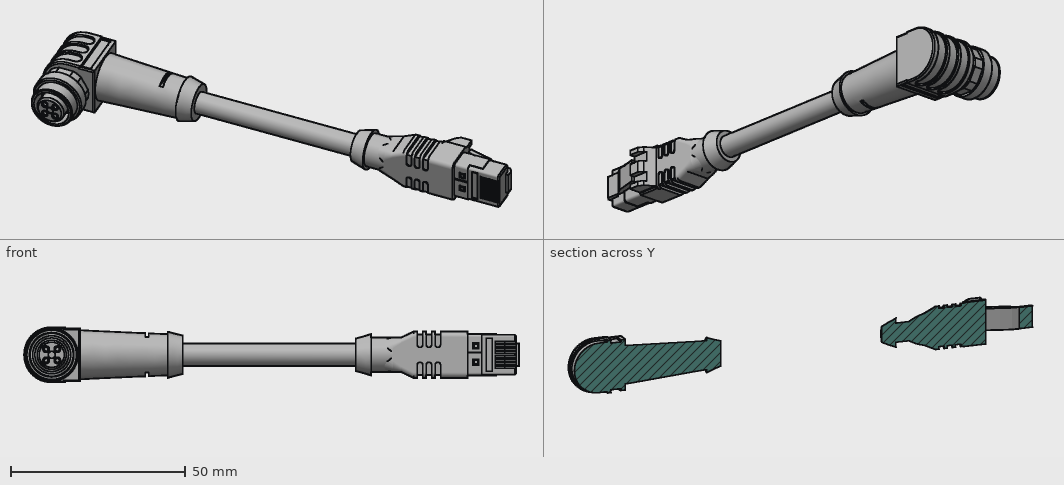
import cadquery as cq
import math


head_radius = 8.0
head_half_depth = 8.0
head_block_half_height = 7.7
head_round_end_x = 3.8
head_end_x = 8.2
head_edge_chamfer = 0.4
panel_length = 3.0
panel_half_depth = 7.1
panel_recess = 0.5
grip_count = 3
grip_pitch = 4.4
grip_width = 3.4
grip_depth = 0.4
grip_taper_angle = 30
grip_end_x = 2.8

neck_diameter = 9.2
hex_start = 9.1
hex_across_flats = 13.4
hex_corner_diameter = 14.1
collar_start = 12.1
collar_diameter = 15.0
collar_chamfer = 0.4
nose_start = 15.6
nose_end = 19.6
nose_diameter = 12.8
bore_diameter = 11.0
nose_tip_diameter = 12.4
nose_tip_length = 0.4
bore_floor = 14.2
insert_end = 20.8
insert_diameter = 8.4
insert_chamfer = 0.5
seal_diameter = 9.7
seal_height = 0.9
seal_edge_radius = 0.5
contact_hole_diameter = 1.15
contact_hole_depth = 2.8
contact_mouth_diameter = 1.8
recess_diameter = 2.0
recess_depth = 0.3
contact_circle_radius = 2.3
contact_count = 4
first_contact_angle = 45

cable_diameter = 6.5
relief_root_radius = 7.1
relief_tip_radius = 6.0
relief_ring_x = 33.3
relief_ring_radius = 6.7
relief_end_x = 37.7
relief_end_radius = 5.5
relief_slot_x = 26.9
relief_slot_width = 1.0
relief_slot_floor = 5.1

cone_start_x = 87.3
cone_start_radius = 4.7
cone_end_x = 91.7
cone_end_radius = 6.0
barrel_radius = 5.0
blend_start_x = 93.0
blend_start_half = 3.8
blend_corner_radius = 3.1
body_start_x = 98.0
flare_start_x = 100.4
flare_end_x = 103.9
body_half_height = 6.7
body_end_x = 119.4
body_corner_radius = 1.5
body_groove_count = 3
body_groove_first_x = 105.8
body_groove_pitch = 2.5
body_groove_width = 1.5
body_groove_side_depth = 0.9
body_groove_face_depth = 0.3
body_groove_inner_z = 2.1

guard_start_x = 112.6
guard_bend_x = 114.7
guard_bend_y = 7.8
guard_flat_x = 116.2
guard_top_y = 8.8
guard_half_width = 6.0
guard_slot_inner_z = 1.7
guard_slot_outer_z = 4.5
guard_slot_floor_y = 7.1
guard_foot_chamfer = 0.4

plug_end_x = 133.4
plug_end_chamfer = 0.4
latch_end_x = 134.2
shield_half_depth = 3.4
shield_half_height = 6.0
shield_thickness = 0.21
shield_edge_radius = 0.9
shield_step_x = 123.5
shield_end_x = 127.7
shield_step_y = -1.8
shield_seam_z = 0.64
shield_seam_width = 0.21
window_center_x = 121.8
window_centers_z = (2.5, -2.1)
window_size = 1.7
window_tab_size = 1.0
window_depth = 0.4
bar_groove_x = 124.8
bar_groove_width = 1.7
bar_groove_half_height = 4.7
bar_groove_depth = 0.3
blade_count = 8
blade_pitch = 1.02
blade_slot_width = 0.5
blade_slot_start_x = 127.4
blade_slot_step_x = 130.1
blade_slot_deep = 1.1
blade_slot_shallow = 0.5
latch_half_width = 3.3
latch_top_y = 4.5
latch_tip_y = 3.5
latch_hook_y = 1.4


def box_between(x_range, y_range, z_range):
    """Box given by its low and high limit along each axis."""
    size = [high - low for low, high in (x_range, y_range, z_range)]
    corner = (x_range[0], y_range[0], z_range[0])
    return cq.Workplane("XY").box(*size, centered=False).translate(corner)


def disc_y(diameter, start, end):
    """Cylinder on the round connector's axis, from start to end along -Y."""
    return cq.Workplane("XZ", origin=(0, -start, 0)).circle(diameter / 2).extrude(end - start)


def turned_x(points):
    """Solid of revolution about the cable axis from (x, radius) points."""
    return cq.Workplane("XY").polyline(points).close().revolve(360, (0, 0, 0), (1, 0, 0))


def grip_groove(y):
    """Shallow groove around the round end, running onto both flat sides."""
    root_width = grip_width - 2 * grip_depth * math.tan(math.radians(grip_taper_angle))
    floor_radius = head_radius - grip_depth
    section = [
        (-floor_radius, y - root_width / 2),
        (-head_radius, y - grip_width / 2),
        (-head_radius - grip_depth, y - grip_width / 2),
        (-head_radius - grip_depth, y + grip_width / 2),
        (-head_radius, y + grip_width / 2),
        (-floor_radius, y + root_width / 2),
    ]
    half_ring = (
        cq.Workplane("XY").polyline(section).close()
        .revolve(180, (0, 0, 0), (0, 1, 0))
        .rotate((0, 0, 0), (0, 1, 0), -90)
    )
    flat_slot = (
        cq.Workplane("XY", origin=(0, y, head_radius))
        .slot2D(2 * grip_end_x, grip_width)
        .extrude(-grip_depth, taper=grip_taper_angle)
    )
    return half_ring.union(flat_slot).union(flat_slot.mirror("XY"))


def make_head():
    """Round-nosed head with recessed side panels and grip grooves."""
    round_part = (
        disc_y(2 * head_radius, -head_half_depth, head_half_depth)
        .union(box_between(
            (0, head_round_end_x),
            (-head_half_depth, head_half_depth),
            (-head_radius, head_radius),
        ))
    )
    block = box_between(
        (0, head_end_x),
        (-head_half_depth, head_half_depth),
        (-head_block_half_height, head_block_half_height),
    )
    head = round_part.union(block).faces("<Y or >Y").chamfer(head_edge_chamfer)
    floor_z = head_block_half_height - panel_recess
    panel = box_between(
        (head_round_end_x, head_round_end_x + panel_length),
        (-panel_half_depth, panel_half_depth),
        (floor_z, head_radius),
    )
    head = head.cut(panel).cut(panel.mirror("XY"))
    for i in range(grip_count):
        head = head.cut(grip_groove((i - (grip_count - 1) / 2) * grip_pitch))
    return head


def make_coupling():
    """Neck and hex nut with a hollow nose."""
    neck = disc_y(neck_diameter, head_half_depth - head_edge_chamfer, hex_start)
    hex_corner_to_corner = hex_across_flats / math.cos(math.radians(30))
    hexagon = (
        cq.Workplane("XZ", origin=(0, -hex_start, 0))
        .polygon(6, hex_corner_to_corner)
        .extrude(collar_start - hex_start)
        .intersect(disc_y(hex_corner_diameter, hex_start, collar_start))
    )
    collar = disc_y(collar_diameter, collar_start, nose_start).faces("<Y").chamfer(collar_chamfer)
    nose_tip_start = nose_end - nose_tip_length
    nose = disc_y(nose_diameter, nose_start, nose_tip_start)
    nose_tip = disc_y(nose_tip_diameter, nose_tip_start, nose_end)
    bore = disc_y(bore_diameter, bore_floor, nose_end)
    return neck.union(hexagon).union(collar).union(nose).union(nose_tip).cut(bore)


def make_insert():
    """Contact carrier with its sockets and the seal at its foot."""
    insert = disc_y(insert_diameter, bore_floor, insert_end).faces("<Y").chamfer(insert_chamfer)
    contact_points = (
        cq.Workplane("XZ", origin=(0, -insert_end, 0))
        .polarArray(contact_circle_radius, first_contact_angle, 360, contact_count)
    )
    holes = contact_points.circle(contact_hole_diameter / 2).extrude(-contact_hole_depth)
    mouths = contact_points.circle(contact_mouth_diameter / 2).extrude(-recess_depth)
    recess = disc_y(recess_diameter, insert_end - recess_depth, insert_end)
    seal = (
        disc_y(seal_diameter, bore_floor, bore_floor + seal_height)
        .faces("<Y").edges().fillet(seal_edge_radius)
    )
    return insert.cut(holes).cut(mouths).cut(recess).union(seal)


def make_bend_relief():
    """Tapered sleeve ending in a flared ring, with a slot on each side."""
    relief = turned_x([
        (head_end_x, 0),
        (head_end_x, relief_root_radius),
        (relief_ring_x, relief_tip_radius),
        (relief_ring_x, relief_ring_radius),
        (relief_end_x, relief_end_radius),
        (relief_end_x, 0),
    ])
    slot = box_between(
        (relief_slot_x, relief_slot_x + relief_slot_width),
        (-relief_root_radius, relief_root_radius),
        (relief_slot_floor, relief_root_radius),
    )
    return relief.cut(slot).cut(slot.mirror("XY"))


def make_cable():
    """Plain cable between the two connectors."""
    return turned_x([
        (relief_end_x, 0),
        (relief_end_x, cable_diameter / 2),
        (cone_start_x, cable_diameter / 2),
        (cone_start_x, 0),
    ])


def body_section(x, half_depth, half_height, corner_radius):
    """Rounded rectangle across the cable axis, placed x along it."""
    outline = cq.Sketch().rect(2 * half_depth, 2 * half_height).vertices().fillet(corner_radius)
    return outline.moved(cq.Location(cq.Vector(0, 0, x)))


def make_housing():
    """Plug housing: flared ring, round barrel and grooved rectangular body."""
    barrel = turned_x([
        (cone_start_x, 0),
        (cone_start_x, cone_start_radius),
        (cone_end_x, cone_end_radius),
        (cone_end_x, barrel_radius),
        (flare_start_x, barrel_radius),
        (flare_start_x, 0),
    ])
    sections = [
        body_section(blend_start_x, blend_start_half, blend_start_half, blend_corner_radius),
        body_section(body_start_x, barrel_radius, barrel_radius, blend_corner_radius),
        body_section(flare_start_x, barrel_radius, barrel_radius, body_corner_radius),
        body_section(flare_end_x, barrel_radius, body_half_height, body_corner_radius),
        body_section(body_end_x, barrel_radius, body_half_height, body_corner_radius),
    ]
    body = cq.Workplane("YZ").placeSketch(*sections).loft(ruled=True)
    for i in range(body_groove_count):
        groove = body_groove(body_groove_first_x + i * body_groove_pitch)
        body = body.cut(groove).cut(groove.mirror("XY"))
    return barrel.union(body)


def body_groove(x):
    """Grip groove across the +Z side, ending in round tips on both broad faces."""
    half = body_groove_width / 2
    side = box_between(
        (x - half, x + half),
        (-barrel_radius, barrel_radius),
        (body_half_height - body_groove_side_depth, body_half_height),
    )
    tip = (
        cq.Workplane("XZ", origin=(x, -barrel_radius, 0))
        .moveTo(half, body_half_height)
        .lineTo(half, body_groove_inner_z + half)
        .threePointArc((0, body_groove_inner_z), (-half, body_groove_inner_z + half))
        .lineTo(-half, body_half_height)
        .close()
        .extrude(-body_groove_face_depth)
    )
    return side.union(tip).union(tip.mirror("XZ"))


def make_guard():
    """Raised guard for the latch, split by two slots, on a square-edged foot."""
    base_y = barrel_radius - body_corner_radius
    guard = (
        cq.Workplane("XY", origin=(0, 0, -guard_half_width))
        .moveTo(guard_start_x, base_y)
        .lineTo(guard_start_x, barrel_radius)
        .lineTo(guard_bend_x, guard_bend_y)
        .lineTo(guard_flat_x, guard_top_y)
        .lineTo(body_end_x, guard_top_y)
        .lineTo(body_end_x, base_y)
        .close()
        .extrude(2 * guard_half_width)
    )
    slot = box_between(
        (guard_start_x, body_end_x),
        (guard_slot_floor_y, guard_top_y),
        (guard_slot_inner_z, guard_slot_outer_z),
    )
    foot = box_between(
        (guard_start_x, body_end_x),
        (0, barrel_radius),
        (-body_half_height, body_half_height),
    ).edges("|X and >Y").chamfer(guard_foot_chamfer)
    return guard.cut(slot).cut(slot.mirror("XY")).union(foot)


def make_plug_nose():
    """Modular plug nose with its shield, windows and contact slots."""
    core = box_between(
        (body_end_x, plug_end_x),
        (-shield_half_depth + shield_thickness, shield_half_depth - shield_thickness),
        (-shield_half_height + shield_thickness, shield_half_height - shield_thickness),
    ).edges("|X").fillet(shield_edge_radius - shield_thickness)
    core = core.faces(">X").chamfer(plug_end_chamfer)
    shield = box_between(
        (body_end_x, shield_end_x),
        (-shield_half_depth, shield_half_depth),
        (-shield_half_height, shield_half_height),
    ).edges("|X").fillet(shield_edge_radius)
    shield_opening = box_between(
        (shield_step_x, shield_end_x),
        (-shield_half_depth, shield_step_y),
        (-shield_half_height, shield_half_height),
    )
    nose = core.union(shield.cut(shield_opening))

    shield_face = -shield_half_depth
    nose = nose.cut(box_between(
        (body_end_x, shield_step_x),
        (shield_face, shield_face + shield_thickness),
        (shield_seam_z - shield_seam_width / 2, shield_seam_z + shield_seam_width / 2),
    ))
    for z in window_centers_z:
        window = (
            cq.Workplane("XZ", origin=(window_center_x, shield_face, z))
            .rect(window_size, window_size)
            .rect(window_tab_size, window_tab_size)
            .extrude(-window_depth)
        )
        nose = nose.cut(window)

    core_face = shield_face + shield_thickness
    nose = nose.cut(box_between(
        (bar_groove_x, bar_groove_x + bar_groove_width),
        (core_face, core_face + bar_groove_depth),
        (-bar_groove_half_height, bar_groove_half_height),
    ))
    for i in range(blade_count):
        z = (i - (blade_count - 1) / 2) * blade_pitch
        z_range = (z - blade_slot_width / 2, z + blade_slot_width / 2)
        deep = ((blade_slot_start_x, blade_slot_step_x), (core_face, core_face + blade_slot_deep))
        shallow = ((blade_slot_step_x, plug_end_x), (core_face, core_face + blade_slot_shallow))
        for x_range, y_range in (deep, shallow):
            nose = nose.cut(box_between(x_range, y_range, z_range))
    return nose


def make_latch():
    """Bent spring arm from the guard to the hook at the plug's free end."""
    outer_edge = [
        (body_end_x, 8.1),
        (124.8, 6.7),
        (126.5, 6.3),
        (129.1, latch_top_y),
        (plug_end_x, latch_top_y),
        (latch_end_x, latch_tip_y),
    ]
    inner_edge = [
        (latch_end_x, latch_hook_y),
        (131.4, latch_hook_y),
        (130.0, 4.0),
        (127.5, 4.1),
        (124.1, 5.0),
        (body_end_x, 6.5),
    ]
    return (
        cq.Workplane("XY", origin=(0, 0, -latch_half_width))
        .polyline(outer_edge + inner_edge).close()
        .extrude(2 * latch_half_width)
    )


result = make_head()
for piece in (
    make_coupling(),
    make_insert(),
    make_bend_relief(),
    make_cable(),
    make_housing(),
    make_guard(),
    make_plug_nose(),
    make_latch(),
):
    result = result.union(piece)